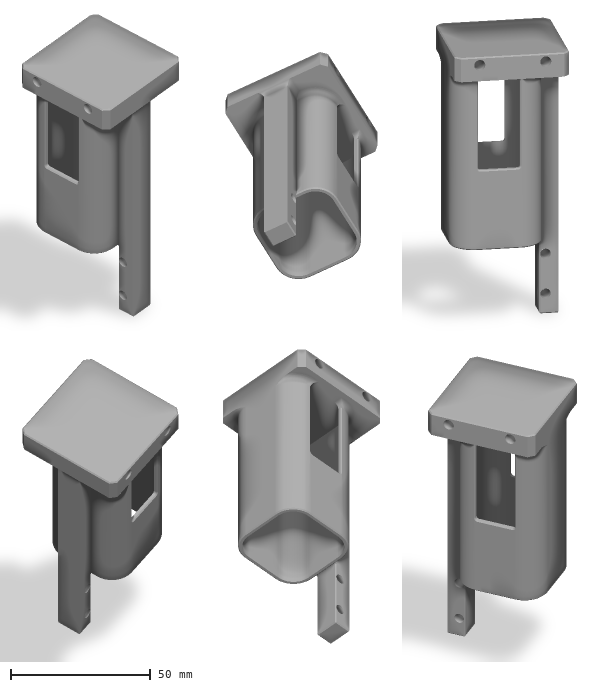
import cadquery as cq

PLATE_SIDE = 41.7
PLATE_HALF = PLATE_SIDE / 2
PLATE_THICKNESS = 9.0
PLATE_CORNER_CHAMFER = 2.1

TOTAL_HEIGHT = 103.0
EDGE_CHAMFER = 0.45
ROOT_FILLET = 2.0

BODY_LENGTH = 33.4
BODY_WIDTH = 33.1
BODY_HEIGHT = 65.0
BODY_CORNER_RADIUS = 9.0
BODY_WALL = 1.5
BODY_CENTER_X = -PLATE_HALF + BODY_LENGTH / 2

WINDOW_WIDTH = BODY_LENGTH - 2 * BODY_CORNER_RADIUS
WINDOW_HEIGHT = 35.0
WINDOW_CORNER_RADIUS = 1.0
RIM_TAPER = -45

ARM_THICKNESS = 6.85
ARM_WIDTH = 9.7
ARM_HEIGHT = TOTAL_HEIGHT - PLATE_THICKNESS
ARM_INNER_X = -PLATE_HALF + BODY_LENGTH
ARM_CENTER_X = ARM_INNER_X + ARM_THICKNESS / 2

PLATE_HOLE_DIAMETER = 4.0
PLATE_HOLE_SPACING = 24.0
PLATE_HOLE_Z = 6.0
ARM_HOLE_DIAMETER = 3.75
ARM_HOLE_SPACING = 15.0
ARM_HOLE_INSET = 2.2
ARM_HOLE_END_DISTANCE = 7.5
ARM_HOLE_X = ARM_INNER_X + ARM_HOLE_INSET
LOWER_ARM_HOLE_Z = -ARM_HEIGHT + ARM_HOLE_END_DISTANCE


def box(length, width, height, center_x=0, bottom_z=0):
    """Box centred on Y = 0 and standing on bottom_z."""
    block = cq.Workplane("XY").box(length, width, height, centered=(True, True, False))
    return block.translate((center_x, 0, bottom_z))


def make_body():
    """Solid rounded column with a chamfered lower rim."""
    body = box(BODY_LENGTH, BODY_WIDTH, BODY_HEIGHT, BODY_CENTER_X, -BODY_HEIGHT)
    body = body.edges("|Z").fillet(BODY_CORNER_RADIUS)
    return body.faces("<Z").edges().chamfer(EDGE_CHAMFER)


def make_cavity():
    """Hollow of the body, leaving an even wall and opening at the bottom."""
    cavity = box(
        BODY_LENGTH - 2 * BODY_WALL, BODY_WIDTH - 2 * BODY_WALL, BODY_HEIGHT, BODY_CENTER_X, -BODY_HEIGHT
    )
    return cavity.edges("|Z").fillet(BODY_CORNER_RADIUS - BODY_WALL)


def make_arm():
    """Bar that is plain beside the body and has broken edges below it."""
    upper = box(ARM_THICKNESS, ARM_WIDTH, BODY_HEIGHT, ARM_CENTER_X, -BODY_HEIGHT)
    lower = box(ARM_THICKNESS, ARM_WIDTH, ARM_HEIGHT - BODY_HEIGHT, ARM_CENTER_X, -ARM_HEIGHT)
    lower = lower.edges("(|Z and <X) or (<Z and (not >X))").chamfer(EDGE_CHAMFER)
    return upper.union(lower)


def hang_from_slab(column):
    """Join a column to a slab wider than the plate, with a fillet around its root."""
    slab_margin = 2 * ROOT_FILLET
    slab_side = PLATE_SIDE + 2 * slab_margin
    slab = box(slab_side, slab_side, PLATE_THICKNESS)
    joined = slab.union(column)
    underside = joined.faces(cq.selectors.NearestToPointSelector((0, 0, 0)))
    root = underside.val().innerWires()[0]
    return joined.newObject(root.Edges()).fillet(ROOT_FILLET)


def make_envelope():
    """Plate outline with chamfered corners and top rim, as tall as the whole part."""
    envelope = box(PLATE_SIDE, PLATE_SIDE, TOTAL_HEIGHT, 0, -ARM_HEIGHT)
    envelope = envelope.edges("|Z").chamfer(PLATE_CORNER_CHAMFER)
    return envelope.faces(">Z").edges().chamfer(EDGE_CHAMFER)


def make_window():
    """Opening along Y with rounded corners and flared rims on both outer faces."""
    opening = box(WINDOW_WIDTH, PLATE_SIDE, WINDOW_HEIGHT, BODY_CENTER_X, -WINDOW_HEIGHT)
    opening = opening.edges("|Y and <Z").fillet(WINDOW_CORNER_RADIUS)
    opening = opening.edges("|Y and >Z").fillet(ROOT_FILLET)

    rim_inner_y = BODY_WIDTH / 2 - EDGE_CHAMFER
    rim = (
        cq.Workplane("XZ", origin=(BODY_CENTER_X, -rim_inner_y, -WINDOW_HEIGHT / 2))
        .sketch()
        .rect(WINDOW_WIDTH, WINDOW_HEIGHT)
        .vertices("<Y")
        .fillet(WINDOW_CORNER_RADIUS)
        .finalize()
        .extrude(EDGE_CHAMFER, taper=RIM_TAPER)
    )
    below_root = box(PLATE_SIDE, PLATE_SIDE, BODY_HEIGHT, 0, -BODY_HEIGHT - ROOT_FILLET)
    rim = rim.intersect(below_root)
    return opening.union(rim).union(rim.mirror("XZ"))


def make_holes(diameter, centers):
    """Cylinders along Y through the whole part at the given (x, z) centers."""
    return cq.Workplane("XZ").pushPoints(centers).circle(diameter / 2).extrude(PLATE_HALF, both=True)


plate_hole_centers = [(side * PLATE_HOLE_SPACING / 2, PLATE_HOLE_Z) for side in (-1, 1)]
arm_hole_centers = [(ARM_HOLE_X, LOWER_ARM_HOLE_Z + i * ARM_HOLE_SPACING) for i in range(2)]

result = (
    hang_from_slab(make_body())
    .union(hang_from_slab(make_arm()))
    .intersect(make_envelope())
    .cut(make_cavity())
    .cut(make_window())
    .cut(make_holes(PLATE_HOLE_DIAMETER, plate_hole_centers))
    .cut(make_holes(ARM_HOLE_DIAMETER, arm_hole_centers))
)